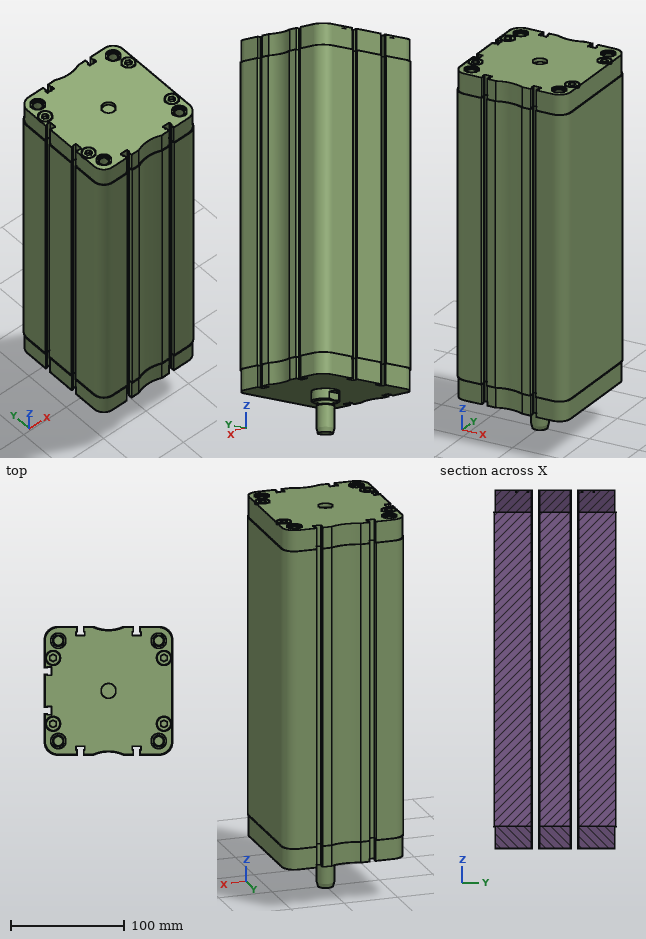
import cadquery as cq
import math

TOTAL_LENGTH = 355.0
BARREL_WIDTH = 113.5
BARREL_CORNER_RADIUS = 12.0
CAP_INSET = 0.7
CAP_HEIGHT = 19.5
ROD_EXTENSION = 38.0

HALF_WIDTH = BARREL_WIDTH / 2
HOUSING_LENGTH = TOTAL_LENGTH - ROD_EXTENSION

HOLLOW_HALF_WIDTH = 13.5
HOLLOW_DEPTH = 3.0

SLOT_MOUTH_WIDTH = 5.7
LARGE_SLOT_OFFSET = 25.0
LARGE_SLOT_DEPTH = 7.8
LARGE_SLOT_LIP = 4.5
LARGE_SLOT_INNER_WIDTH = 7.5
SMALL_SLOT_OFFSET = 17.5
SMALL_SLOT_DEPTH = 6.5
SMALL_SLOT_LIP = 2.5
SMALL_SLOT_INNER_WIDTH = 7.0

MOUNT_HOLE_OFFSET = 44.5
MOUNT_MOUTH_DIAMETER = 13.5
MOUNT_MOUTH_DEPTH = 1.5
MOUNT_HOLE_DIAMETER = 8.5
MOUNT_HOLE_DEPTH = 14.2
MOUNT_CHAMFER_DIAMETER = 10.0

SCREW_OFFSET_X = 49.0
SCREW_OFFSET_Y = 29.0
SCREW_HEAD_DIAMETER = 12.0
SCREW_RECESS_DIAMETER = 13.0
SCREW_GROOVE_DEPTH = 1.8
SCREW_SOCKET_WIDTH = 5.7
SCREW_SOCKET_DEPTH = 3.5

CENTRE_HOLE_DIAMETER = 13.0
CENTRE_HOLE_DEPTH = 3.5

ROD_DIAMETER = 25.0
ROD_LENGTH = 10.0
ROD_CHAMFER_LENGTH = 1.0
ROD_CHAMFER_DEPTH = 1.8
ROD_FLAT_WIDTH = 22.0
ROD_FLAT_START = 3.0
THREAD_DIAMETER = 16.0
THREAD_TIP_DIAMETER = 14.0
UNDERCUT_DIAMETER = 14.2
UNDERCUT_LENGTH = 2.5
UNDERCUT_ROOT_RADIUS = 0.7
UNDERCUT_TAPER_LENGTH = 1.0
THREAD_TIP_LENGTH = 4.3

SIGNS = (-1, 1)


def slot_outline(mouth_at, depth, lip, inner_width):
    """T-slot entering along -Y from the level y = HALF_WIDTH, open above it."""
    mouth = SLOT_MOUTH_WIDTH / 2
    inner = inner_width / 2
    lip_level = HALF_WIDTH - lip
    floor_level = HALF_WIDTH - depth
    outside = HALF_WIDTH + lip
    points = [
        (-mouth, outside), (-mouth, lip_level), (-inner, lip_level), (-inner, floor_level),
        (inner, floor_level), (inner, lip_level), (mouth, lip_level), (mouth, outside),
    ]
    return [(mouth_at + x, y) for x, y in points]


def profile_cutter(inset, length):
    """Everything cut along the full length of the profile, from z = 0 upward.

    The hollows follow the inset side faces; the slots line up along the whole housing.
    """
    side = HALF_WIDTH - inset
    hollow = (
        cq.Workplane("XY")
        .moveTo(-HOLLOW_HALF_WIDTH, side)
        .threePointArc((0, side - HOLLOW_DEPTH), (HOLLOW_HALF_WIDTH, side))
        .close()
        .extrude(length)
    )
    cutter = hollow
    for sign in SIGNS:
        outline = slot_outline(
            sign * LARGE_SLOT_OFFSET, LARGE_SLOT_DEPTH, LARGE_SLOT_LIP, LARGE_SLOT_INNER_WIDTH
        )
        cutter = cutter.union(cq.Workplane("XY").polyline(outline).close().extrude(length))
    cutter = cutter.union(cutter.mirror("XZ"))
    for sign in SIGNS:
        outline = slot_outline(
            sign * SMALL_SLOT_OFFSET, SMALL_SLOT_DEPTH, SMALL_SLOT_LIP, SMALL_SLOT_INNER_WIDTH
        )
        slot = cq.Workplane("XY").polyline(outline).close().extrude(length)
        cutter = cutter.union(slot.rotate((0, 0, 0), (0, 0, 1), 90))
    return cutter


def profile_block(inset, bottom, length):
    """Rounded square profile with its hollows and slots, drawn in by the inset."""
    width = BARREL_WIDTH - 2 * inset
    block = (
        cq.Workplane("XY")
        .rect(width, width)
        .extrude(length)
        .edges("|Z")
        .fillet(BARREL_CORNER_RADIUS - inset)
    )
    return block.cut(profile_cutter(inset, length)).translate((0, 0, bottom))


def make_barrel():
    return profile_block(0, CAP_HEIGHT, HOUSING_LENGTH - 2 * CAP_HEIGHT)


def make_front_cap():
    return profile_block(CAP_INSET, 0, CAP_HEIGHT)


def mount_hole_cutter():
    """Threaded hole with a counterbored mouth and a 45 degree chamfer, going down from z = 0."""
    mouth_radius = MOUNT_MOUTH_DIAMETER / 2
    chamfer_radius = MOUNT_CHAMFER_DIAMETER / 2
    hole_radius = MOUNT_HOLE_DIAMETER / 2
    chamfer_end = -MOUNT_MOUTH_DEPTH - (chamfer_radius - hole_radius)
    return (
        cq.Workplane("XZ")
        .polyline([
            (0, 0),
            (mouth_radius, 0),
            (mouth_radius, -MOUNT_MOUTH_DEPTH),
            (chamfer_radius, -MOUNT_MOUTH_DEPTH),
            (hole_radius, chamfer_end),
            (hole_radius, -MOUNT_HOLE_DEPTH),
            (0, -MOUNT_HOLE_DEPTH),
        ])
        .close()
        .revolve(360, (0, 0), (0, 1))
    )


def make_rear_cap():
    cap = profile_block(CAP_INSET, HOUSING_LENGTH - CAP_HEIGHT, CAP_HEIGHT)
    face = cq.Workplane("XY", origin=(0, 0, HOUSING_LENGTH))
    mount_points = [(x * MOUNT_HOLE_OFFSET, y * MOUNT_HOLE_OFFSET) for x in SIGNS for y in SIGNS]
    screw_points = [(x * SCREW_OFFSET_X, y * SCREW_OFFSET_Y) for x in SIGNS for y in SIGNS]

    mount_hole = mount_hole_cutter()
    for x, y in mount_points:
        cap = cap.cut(mount_hole.translate((x, y, HOUSING_LENGTH)))

    placed = face.pushPoints(screw_points)
    groove = (
        placed.circle(SCREW_RECESS_DIAMETER / 2)
        .circle(SCREW_HEAD_DIAMETER / 2)
        .extrude(-SCREW_GROOVE_DEPTH)
    )
    cap = cap.cut(groove)
    across_corners = SCREW_SOCKET_WIDTH / math.cos(math.pi / 6)
    hexagon = (
        cq.Workplane("XY").polygon(6, across_corners).extrude(-SCREW_SOCKET_DEPTH)
        .rotate((0, 0, 0), (0, 0, 1), 90)
    )
    for x, y in screw_points:
        cap = cap.cut(hexagon.translate((x, y, HOUSING_LENGTH)))

    return cap.cut(face.circle(CENTRE_HOLE_DIAMETER / 2).extrude(-CENTRE_HOLE_DEPTH))


def make_rod():
    """Rod end that meets the front cap face, with an undercut and a thread below it."""
    rod_radius = ROD_DIAMETER / 2
    thread_radius = THREAD_DIAMETER / 2
    tip_radius = THREAD_TIP_DIAMETER / 2
    undercut_radius = UNDERCUT_DIAMETER / 2
    undercut_end = -ROD_LENGTH - UNDERCUT_LENGTH
    root_centre_x = undercut_radius + UNDERCUT_ROOT_RADIUS
    root_centre_z = -ROD_LENGTH - UNDERCUT_ROOT_RADIUS
    root_middle = UNDERCUT_ROOT_RADIUS * math.cos(math.pi / 4)
    rod = (
        cq.Workplane("XZ")
        .polyline([
            (0, 0),
            (rod_radius, 0),
            (rod_radius, -ROD_LENGTH + ROD_CHAMFER_LENGTH),
            (rod_radius - ROD_CHAMFER_DEPTH, -ROD_LENGTH),
            (root_centre_x, -ROD_LENGTH),
        ])
        .threePointArc(
            (root_centre_x - root_middle, root_centre_z + root_middle),
            (undercut_radius, root_centre_z),
        )
        .lineTo(undercut_radius, undercut_end)
        .lineTo(thread_radius, undercut_end - UNDERCUT_TAPER_LENGTH)
        .lineTo(thread_radius, -ROD_EXTENSION + THREAD_TIP_LENGTH)
        .lineTo(tip_radius, -ROD_EXTENSION)
        .lineTo(0, -ROD_EXTENSION)
        .close()
        .revolve(360, (0, 0), (0, 1))
    )
    flat = ROD_FLAT_WIDTH / 2
    run_out = rod_radius - flat
    flat_cutter = (
        cq.Workplane("XZ")
        .polyline([
            (flat, -ROD_LENGTH),
            (flat, -ROD_FLAT_START),
            (rod_radius, -ROD_FLAT_START + run_out),
            (rod_radius, -ROD_LENGTH),
        ])
        .close()
        .extrude(rod_radius, both=True)
    )
    return rod.cut(flat_cutter).cut(flat_cutter.mirror("YZ"))


barrel = make_barrel()
front_cap = make_front_cap()
rear_cap = make_rear_cap()
rod = make_rod()

result = cq.Compound.makeCompound([barrel.val(), front_cap.val(), rear_cap.val(), rod.val()])